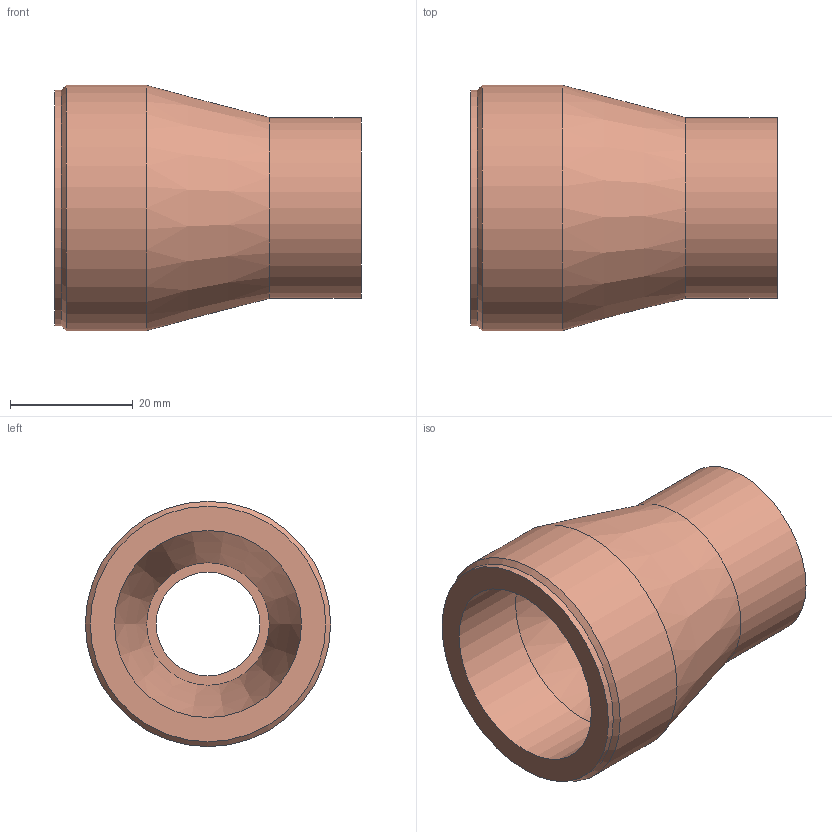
import cadquery as cq

length = 50.0
large_end_length = 15.0
taper_length = 20.0
large_radius = 20.0
small_radius = 14.75

rim_length = 1.1
rim_depth = 0.8

socket_depth = 13.0
socket_radius = 15.25
through_radius = 8.45

large_face = 0.0
small_face = large_face + length
rim_end = large_face + rim_length
chamfer_end = rim_end + rim_depth
taper_start = large_face + large_end_length
taper_end = taper_start + taper_length
socket_end = large_face + socket_depth
shoulder = socket_end + taper_length

rim_radius = large_radius - rim_depth
taper_exit_radius = socket_radius - (large_radius - small_radius)


def turned(profile):
    """Revolve an (axial, radial) profile a full turn about the X axis."""
    return cq.Workplane("XY").polyline(profile).close().revolve(360, (0, 0, 0), (1, 0, 0))


def outer_body():
    return turned([
        (large_face, 0),
        (large_face, rim_radius),
        (rim_end, rim_radius),
        (chamfer_end, large_radius),
        (taper_start, large_radius),
        (taper_end, small_radius),
        (small_face, small_radius),
        (small_face, 0),
    ])


def bore():
    return turned([
        (large_face, 0),
        (large_face, socket_radius),
        (socket_end, socket_radius),
        (shoulder, taper_exit_radius),
        (shoulder, through_radius),
        (small_face, through_radius),
        (small_face, 0),
    ])


result = outer_body().cut(bore())